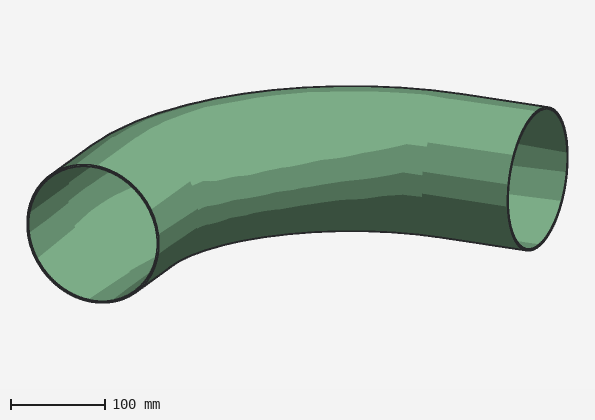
import cadquery as cq

overall_length = 432.0
outer_diameter = 154.0
inner_diameter = 150.0
straight_length = 100.0
bend_angle = 90

bend_radius = overall_length - straight_length - outer_diameter / 2


def tube_ring(plane):
    """Annular wall section of the tube on the given plane."""
    return cq.Workplane(plane).circle(outer_diameter / 2).circle(inner_diameter / 2)


inlet_plane = cq.Plane(origin=(-bend_radius, 0, 0), xDir=(1, 0, 0), normal=(0, -1, 0))
outlet_plane = cq.Plane(origin=(0, bend_radius, 0), xDir=(0, 1, 0), normal=(1, 0, 0))

bend = tube_ring(inlet_plane).revolve(bend_angle, (bend_radius, 0), (bend_radius, -1))
inlet_tube = tube_ring(inlet_plane).extrude(straight_length)
outlet_tube = tube_ring(outlet_plane).extrude(straight_length)

result = bend.union(inlet_tube).union(outlet_tube)